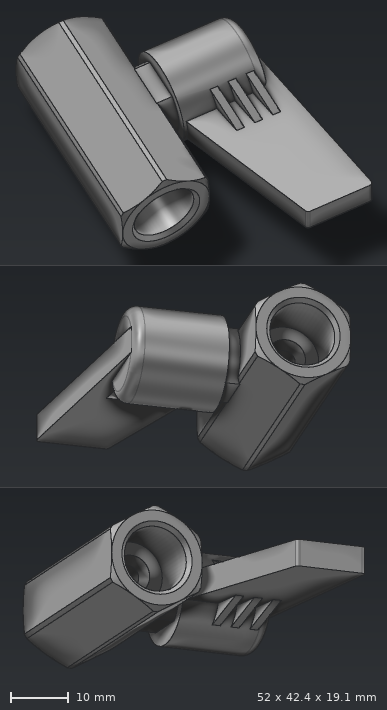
import cadquery as cq
import math


body_left = -17.0
body_length = 39.5
hex_flats = 17.0
hex_corners = 19.15
end_chamfer_angle = 30.0

thread_diameter = 11.65
thread_depth = 11.45
mouth_diameter = 13.15
cone_diameter = 6.9
bore_diameter = 4.0

stem_diameter = 13.3
stem_flats = 10.5

hub_diameter = 17.0
hub_bottom = 10.95
hub_height = 17.0
hub_round = 1.9
hub_top = hub_bottom + hub_height

blade_thickness = 4.85
blade_tip = 35.0
blade_top_slope = 0.147
blade_top_start = 6.35
blade_bottom_slope = 0.354
blade_bottom_start = (7.8, 11.45)
blade_corner_radius = 0.7

rib_count = 3
rib_start = 6.2
rib_end = 13.95
rib_width = 1.5
rib_pitch = 3.55
lowest_rib_y = 17.25


def x_cylinder(diameter, start, length):
    return cq.Workplane("YZ").workplane(offset=start).circle(diameter / 2).extrude(length)


def y_cylinder(diameter, start, length):
    return cq.Workplane("XZ").workplane(offset=-start).circle(diameter / 2).extrude(-length)


def make_body():
    hex_diameter = hex_flats / math.cos(math.radians(30))
    hexagon = (
        cq.Workplane("YZ")
        .workplane(offset=body_left)
        .transformed(rotate=(0, 0, 90))
        .polygon(6, hex_diameter)
        .extrude(body_length)
    )
    chamfer_height = (hex_corners - hex_flats) / 2
    chamfer_length = chamfer_height * math.tan(math.radians(end_chamfer_angle))
    envelope = (
        x_cylinder(hex_corners, body_left, body_length)
        .faces("<X or >X")
        .chamfer(chamfer_length, chamfer_height)
    )
    return hexagon.intersect(envelope)


def make_port():
    mouth_depth = (mouth_diameter - thread_diameter) / 2
    cone_depth = (cone_diameter - bore_diameter) / 2
    cone_end = thread_depth + cone_depth
    profile = [
        (0, 0),
        (0, mouth_diameter / 2),
        (mouth_depth, thread_diameter / 2),
        (thread_depth, thread_diameter / 2),
        (thread_depth, cone_diameter / 2),
        (cone_end, bore_diameter / 2),
        (cone_end, 0),
    ]
    port = cq.Workplane("XY").polyline(profile).close().revolve(360, (0, 0, 0), (1, 0, 0))
    return port.translate((body_left, 0, 0))


def make_stem():
    stem = y_cylinder(stem_diameter, 0, hub_bottom)
    flats = cq.Workplane("XY").box(stem_diameter, 2 * hub_bottom, stem_flats)
    return stem.intersect(flats)


def make_hub():
    return y_cylinder(hub_diameter, hub_bottom, hub_height).faces(">Y").edges().fillet(hub_round)


def make_blade():
    bottom_x, bottom_y = blade_bottom_start
    tip_top = hub_top + blade_top_slope * (blade_tip + blade_top_start)
    tip_bottom = bottom_y + blade_bottom_slope * (blade_tip - bottom_x)
    outline = [
        (-blade_top_start, hub_top),
        (blade_tip, tip_top),
        (blade_tip, tip_bottom),
        (bottom_x, bottom_y),
        (0, bottom_y),
    ]
    blade = cq.Workplane("XY").polyline(outline).close().extrude(blade_thickness / 2, both=True)
    return blade.faces(">X").edges("|Z").fillet(blade_corner_radius)


def make_ribs():
    hub_surface = math.sqrt((hub_diameter / 2) ** 2 - rib_start**2)
    blade_face = blade_thickness / 2
    wedge = (
        cq.Workplane("XZ")
        .polyline([
            (rib_start, -hub_surface),
            (rib_end, -blade_face),
            (rib_end, blade_face),
            (rib_start, hub_surface),
        ])
        .close()
        .extrude(-hub_top)
    )
    rise = blade_top_slope * (rib_end - rib_start)
    strips = cq.Workplane("XY")
    for index in range(rib_count):
        y = lowest_rib_y + index * rib_pitch
        strip = (
            cq.Workplane("XY")
            .polyline([
                (rib_start, y),
                (rib_end, y + rise),
                (rib_end, y + rise + rib_width),
                (rib_start, y + rib_width),
            ])
            .close()
            .extrude(hub_diameter / 2, both=True)
        )
        strips = strips.add(strip)
    return strips.combine().intersect(wedge)


handle = make_hub().union(make_blade()).union(make_ribs())
left_port = make_port()
body_middle = body_left + body_length / 2
right_port = left_port.mirror("YZ", (body_middle, 0, 0))
bore = x_cylinder(bore_diameter, body_left, body_length)

result = make_body().union(make_stem()).union(handle)
result = result.cut(left_port).cut(right_port).cut(bore)